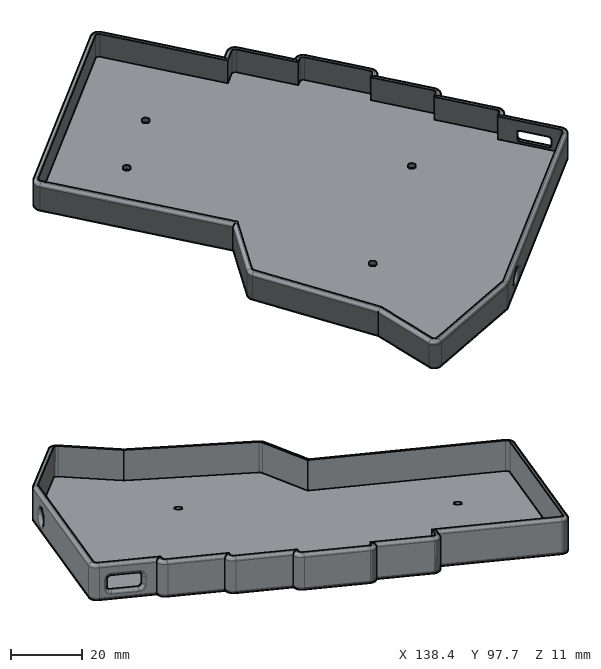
import cadquery as cq

case_width = 138.4
case_height = 11.0
floor_thickness = 2.0
rim_offset = 2.5
key_clearance = 1.0
edge_radius = 1.0
wall_thickness = rim_offset - key_clearance

column_count = 7
row_count = 3
grid_width = case_width - 2 * rim_offset
key_pitch = grid_width / column_count
grid_height = row_count * key_pitch
stagger_steps_per_pitch = 8
column_stagger = key_pitch / stagger_steps_per_pitch

thumb_inner_corner = (57.5, 0)
thumb_left_corner = (66.7, -16.7)
thumb_bend = (104.7, -20.6)
thumb_tip = (121.9, -28.4)
thumb_right_y = -2.4

screw_diameter = 2.2
screw_points = [(19.1, 38.0), (19.1, 19.0), (95.2, 41.6), (95.2, 2.4)]

port_width = 10.0
port_height = 4.3
port_x = 125.9
port_z = 5.0
jack_diameter = 4.5
jack_y = 6.0
jack_z = 4.8

port_center = (port_x, grid_height + rim_offset, port_z)
jack_center = (grid_width + rim_offset, jack_y, jack_z)


def grid_outline():
    """Key grid with staggered columns along the back and the thumb cluster in front."""
    back_runs = [(2, 0), (3, 2), (4, 3), (5, 2), (6, 1), (column_count, 0)]
    points = [(0, 0)]
    run_start = 0
    for run_end, rise in back_runs:
        y = grid_height + rise * column_stagger
        points.append((run_start * key_pitch, y))
        points.append((run_end * key_pitch, y))
        run_start = run_end
    points += [(grid_width, thumb_right_y), thumb_tip, thumb_bend, thumb_left_corner, thumb_inner_corner]
    return cq.Workplane("XY").polyline(points).close()


def shell_body():
    """Open tray whose walls follow the key grid."""
    outer = grid_outline().offset2D(rim_offset).extrude(case_height)
    outer = outer.faces("<Z or >Z").edges().fillet(edge_radius)
    cavity = grid_outline().offset2D(key_clearance).extrude(case_height)
    return outer.cut(cavity.translate((0, 0, floor_thickness)))


def screw_holes():
    return cq.Workplane("XY").pushPoints(screw_points).circle(screw_diameter / 2).extrude(floor_thickness)


def port_opening():
    """Rectangular opening through the back wall."""
    return cq.Workplane("XZ", origin=port_center).rect(port_width, port_height).extrude(wall_thickness)


def jack_opening():
    """Round hole through the right wall."""
    return cq.Workplane("YZ", origin=jack_center).circle(jack_diameter / 2).extrude(-wall_thickness)


def round_rim(body, center, box_size):
    """Round the edges that lie in a box around an opening's center on the outer wall face."""
    low = tuple(c - size / 2 for c, size in zip(center, box_size))
    high = tuple(c + size / 2 for c, size in zip(center, box_size))
    return body.edges(cq.selectors.BoxSelector(low, high)).fillet(edge_radius)


result = shell_body().cut(screw_holes()).cut(port_opening()).cut(jack_opening())

port_box = (port_width + wall_thickness, wall_thickness, port_height + wall_thickness)
jack_box = (wall_thickness, jack_diameter + wall_thickness, jack_diameter + wall_thickness)
result = round_rim(result, port_center, port_box)
result = round_rim(result, jack_center, jack_box)